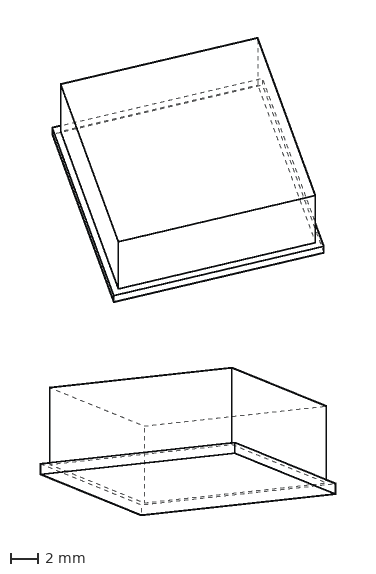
import cadquery as cq

base_side = 16.0
total_height = 6.55

base_thickness = 0.8
base_margin = 0.5

cover_side = base_side - 2 * base_margin
cover_height = total_height - base_thickness


def square_block(side, height, bottom):
    """Square block centred on the Z axis, standing on the given level."""
    return cq.Workplane("XY").workplane(offset=bottom).rect(side, side).extrude(height)


base_plate = square_block(base_side, base_thickness, 0)

cover = square_block(cover_side, cover_height, base_thickness)

result = cq.Compound.makeCompound([base_plate.val(), cover.val()])